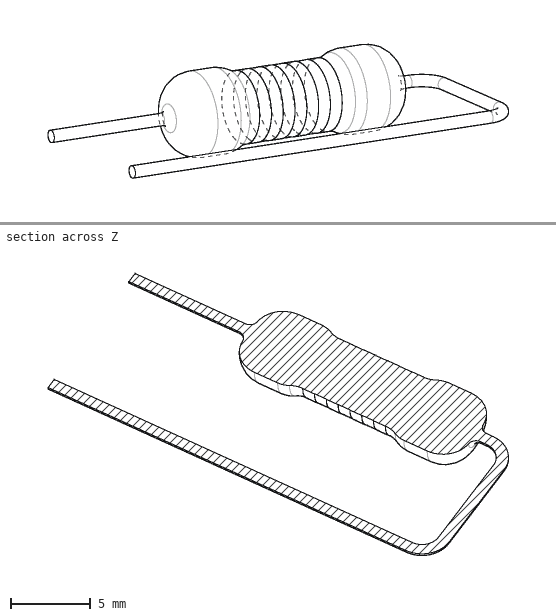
import cadquery as cq
import math


lead_dia = 0.8
lead_pitch = 10.0
overall_length = 28.1
bend_radius = 1.6

cap_dia = 5.5
body_center_y = 16.85
body_length = 16.5
dome_radius = 1.95
collar_radius = 0.55
cap_land = 1.7

waist_dia = 4.67
band_dia = 4.7
segment_count = 7
segment_length = 0.86
concave_share = 0.53

lead_radius = lead_dia / 2
cap_radius = cap_dia / 2
waist_radius = waist_dia / 2
crossbar_y = overall_length - lead_radius
waist_end = segment_count * segment_length / 2
dome_start = body_length / 2 - dome_radius
land_start = dome_start - cap_land


def arc_middle(center, radius, start_angle, end_angle):
    """Point halfway along an arc; angles in radians from the radial direction."""
    angle = (start_angle + end_angle) / 2
    return (center[0] + radius * math.cos(angle), center[1] + radius * math.sin(angle))


def make_end():
    """Body end on the +Y side, from the waist (body middle at Y = 0) to the collar."""
    dome_center = (cap_radius - dome_radius, dome_start)
    collar_center_r = lead_radius + collar_radius
    center_distance = dome_radius + collar_radius
    contact_angle = math.acos((collar_center_r - dome_center[0]) / center_distance)
    collar_end = dome_start + center_distance * math.sin(contact_angle)
    collar_center = (collar_center_r, collar_end)
    contact = (
        dome_center[0] + dome_radius * math.cos(contact_angle),
        dome_center[1] + dome_radius * math.sin(contact_angle),
    )
    dome_middle = arc_middle(dome_center, dome_radius, 0, contact_angle)
    collar_middle = arc_middle(collar_center, collar_radius, contact_angle - math.pi, -math.pi)

    shoulder_inflection = (
        waist_radius + concave_share * (cap_radius - waist_radius),
        waist_end + concave_share * (land_start - waist_end),
    )
    shoulder_angle = 2 * math.atan2(cap_radius - waist_radius, land_start - waist_end)
    concave_radius = concave_share * (land_start - waist_end) / math.sin(shoulder_angle)
    concave_center = (waist_radius + concave_radius, waist_end)
    concave_middle = arc_middle(concave_center, concave_radius, math.pi, math.pi - shoulder_angle)

    profile = (
        cq.Workplane("XY")
        .moveTo(0, waist_end)
        .lineTo(waist_radius, waist_end)
        .threePointArc(concave_middle, shoulder_inflection)
        .tangentArcPoint((cap_radius, land_start), relative=False)
        .lineTo(cap_radius, dome_start)
        .threePointArc(dome_middle, contact)
        .threePointArc(collar_middle, (lead_radius, collar_end))
        .lineTo(0, collar_end)
        .close()
    )
    return profile.revolve(360, (0, 0), (0, 1))


def make_segment(index):
    """One waist segment; even ones are the slightly raised colour bands."""
    diameter = band_dia if index % 2 == 0 else waist_dia
    start_y = index * segment_length - waist_end
    return cq.Workplane("XZ", origin=(0, start_y, 0)).circle(diameter / 2).extrude(-segment_length)


def make_body():
    end = make_end()
    body = end.union(end.mirror("XZ"))
    for index in range(segment_count):
        body = body.union(make_segment(index))
    return body.translate((0, body_center_y, 0))


def make_lead():
    """One round wire from tip to tip; it runs through the body."""
    bend_start_y = crossbar_y - bend_radius
    path = (
        cq.Workplane("XY")
        .lineTo(0, bend_start_y)
        .tangentArcPoint((bend_radius, crossbar_y), relative=False)
        .lineTo(lead_pitch - bend_radius, crossbar_y)
        .tangentArcPoint((lead_pitch, bend_start_y), relative=False)
        .lineTo(lead_pitch, 0)
    )
    return cq.Workplane("XZ").circle(lead_radius).sweep(path)


result = make_body().union(make_lead())